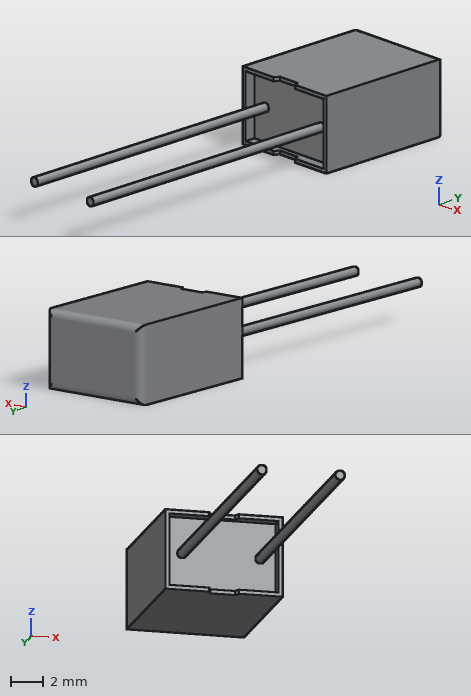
import cadquery as cq

total_length = 29.1
case_width = 7.5
case_height = 5.12
case_length = 10.07
wall = 0.25
rear_fillet = 0.5

resin_recess = 0.75

notch_mouth_width = 1.92
notch_floor_width = 1.57
notch_depth = 0.35

lead_diameter = 0.6
lead_pitch = 5.0

inner_width = case_width - 2 * wall
inner_height = case_height - 2 * wall
resin_front = resin_recess
resin_back = case_length - wall
lead_length = total_length - case_length


def block(width, height, y_start, y_end):
    """Box centred on the Y axis between two Y positions."""
    length = y_end - y_start
    return cq.Workplane("XY").box(width, length, height).translate((0, y_start + length / 2, 0))


def make_notch_cutter():
    """Trapezoid that narrows inward from the rim and passes through both broad walls."""
    outline = [
        (-notch_mouth_width / 2, 0),
        (notch_mouth_width / 2, 0),
        (notch_floor_width / 2, notch_depth),
        (-notch_floor_width / 2, notch_depth),
    ]
    return cq.Workplane("XY").polyline(outline).close().extrude(case_height / 2, both=True)


def make_case():
    """Thin-walled box, open at the lead end and rounded around the closed end."""
    shell = block(case_width, case_height, 0, case_length)
    shell = shell.faces(">Y").edges().fillet(rear_fillet)
    cavity = block(inner_width, inner_height, 0, resin_back)
    return shell.cut(cavity).cut(make_notch_cutter())


def make_resin():
    """Solid filling of the case; the leads end on its front face."""
    return block(inner_width, inner_height, resin_front, resin_back)


def make_lead(x):
    """Straight round wire from the resin face to its free tip."""
    lead = cq.Workplane("XZ").circle(lead_diameter / 2).extrude(lead_length + resin_front)
    return lead.translate((x, resin_front, 0))


case = make_case()
resin = make_resin()
leads = [make_lead(side * lead_pitch / 2) for side in (-1, 1)]

result = cq.Compound.makeCompound([case.val(), resin.val(), *[lead.val() for lead in leads]])